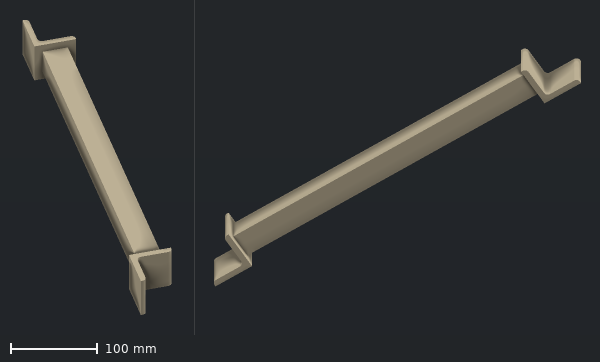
import cadquery as cq

TOTAL_LENGTH = 500.0
LEG = 50.0

THICKNESS = 7.0
ROOT_RADIUS = 5.0
TOE_RADIUS = 5.0

BAR_SIDE = 30.0
BAR_LENGTH = TOTAL_LENGTH - 2 * LEG


def angle_bracket(side):
    """Rolled angle at one end; side is -1 for the -X end and +1 for the +X end."""
    back = side * BAR_LENGTH / 2
    inner = back + side * THICKNESS
    tip = back + side * LEG
    front = -LEG / 2
    rear = LEG / 2
    shelf = front + THICKNESS
    section = (
        cq.Workplane("XY", origin=(0, 0, -LEG / 2))
        .moveTo(back, front)
        .lineTo(tip, front)
        .lineTo(tip, shelf)
        .lineTo(inner, shelf)
        .lineTo(inner, rear)
        .lineTo(back, rear)
        .close()
        .extrude(LEG)
    )
    root = cq.selectors.NearestToPointSelector((inner, shelf, 0))
    toe = cq.selectors.NearestToPointSelector((tip, shelf, 0))
    upright_toe = cq.selectors.NearestToPointSelector((inner, rear, 0))
    return (
        section.edges("|Z").edges(root).fillet(ROOT_RADIUS)
        .edges("|Z").edges(toe).fillet(TOE_RADIUS)
        .edges("|Z").edges(upright_toe).fillet(TOE_RADIUS)
    )


def square_bar():
    """Bar spanning between the two upright legs."""
    return cq.Workplane("XY").box(BAR_LENGTH, BAR_SIDE, BAR_SIDE)


bar = square_bar()
brackets = [angle_bracket(side) for side in (-1, 1)]

result = cq.Compound.makeCompound([bar.val(), *[bracket.val() for bracket in brackets]])